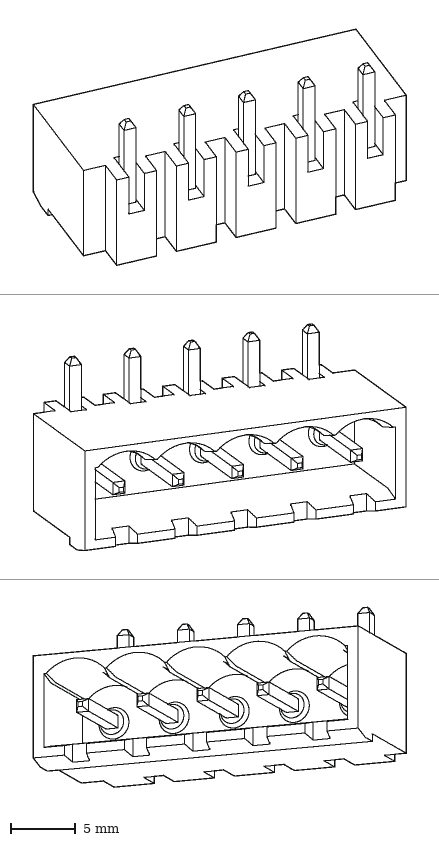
import cadquery as cq

pole_count = 5
pole_pitch = 5.0
length = 27.0
total_depth = 12.2
body_depth = 10.0
top_z = 8.5
underside_z = 0.6

foot_depth = 2.95
foot_slope_run = 1.48
foot_slope_rise = 0.4

pin_size = 1.0
pin_z = 4.6
pin_start = 1.0
tail_x = 10.4
tail_top_z = 12.5
tip_length = 0.5
tip_size = 0.38

end_wall = 0.9
cavity_depth = 8.0
taper_depth = 1.5
mouth_radius = 3.43
inner_radius = 3.0
mouth_roof_z = 7.02
inner_roof_z = mouth_roof_z - (mouth_radius - inner_radius)
mouth_floor_z = pin_z - mouth_radius
inner_floor_z = pin_z - inner_radius

collar_base_radius = 1.25
collar_tip_radius = 0.97
collar_height = 0.4

notch_depth = 1.2
notch_mouth_width = 1.84
notch_back_width = 1.4

pillar_width = 3.35
slot_front = 9.25
slot_width = 1.3
slot_floor_z = pin_z + pin_size / 2

pole_positions = [(i - (pole_count - 1) / 2) * pole_pitch for i in range(pole_count)]


def block(x_range, y_center, width, z_range):
    """Box between two X and two Z limits, centred on y_center."""
    x0, x1 = x_range
    z0, z1 = z_range
    return cq.Workplane("XY").box(x1 - x0, width, z1 - z0, centered=(False, True, False)).translate(
        (x0, y_center, z0)
    )


def side_prism(points, width):
    """Prism with an XZ outline, centred on Y = 0."""
    return cq.Workplane("XZ").polyline(points).close().extrude(width / 2, both=True)


def turned(points, y_center):
    """Solid turned around a pin axis from (x, radius) points."""
    profile = cq.Workplane("XY").polyline(points).close()
    return profile.revolve(360, (0, 0, 0), (1, 0, 0)).translate((0, y_center, pin_z))


def tapered_tip(plane):
    """Pyramid-shaped pin tip pointing along the normal of the plane."""
    base = cq.Workplane(plane).rect(pin_size, pin_size)
    return base.workplane(offset=tip_length).rect(tip_size, tip_size).loft()


def make_body():
    """Solid housing with the foot under the mouth."""
    return side_prism(
        [
            (0, foot_slope_rise),
            (foot_slope_run, 0),
            (foot_depth, 0),
            (foot_depth, underside_z),
            (body_depth, underside_z),
            (body_depth, top_z),
            (0, top_z),
        ],
        length,
    )


def make_cavity():
    """Plug opening with a scalloped roof that tapers in from the mouth."""
    cavity_width = length - 2 * end_wall
    cavity = side_prism(
        [
            (0, mouth_floor_z),
            (taper_depth, inner_floor_z),
            (cavity_depth, inner_floor_z),
            (cavity_depth, inner_roof_z),
            (taper_depth, inner_roof_z),
            (0, mouth_roof_z),
        ],
        cavity_width,
    )
    scallop = [
        (0, 0),
        (0, mouth_radius),
        (taper_depth, inner_radius),
        (cavity_depth, inner_radius),
        (cavity_depth, 0),
    ]
    for y in pole_positions:
        cavity = cavity.union(turned(scallop, y))
    return cavity.intersect(block((0, cavity_depth), 0, cavity_width, (0, top_z)))


def make_notch(y):
    """Cut through the lower lip, narrowing away from the mouth."""
    outline = [
        (0, y - notch_mouth_width / 2),
        (notch_depth, y - notch_back_width / 2),
        (notch_depth, y + notch_back_width / 2),
        (0, y + notch_mouth_width / 2),
    ]
    return cq.Workplane("XY").polyline(outline).close().extrude(pin_z)


def make_collar(y):
    """Conical collar standing on the back wall of the cavity."""
    collar_front = cavity_depth - collar_height
    return turned(
        [
            (collar_front, 0),
            (collar_front, collar_tip_radius),
            (cavity_depth, collar_base_radius),
            (cavity_depth, 0),
        ],
        y,
    )


def make_pin(y):
    """Right-angle square pin, pointed at both ends."""
    half = pin_size / 2
    shaft_start = pin_start + tip_length
    shaft_top = tail_top_z - tip_length
    pin = block((shaft_start, tail_x + half), y, pin_size, (pin_z - half, pin_z + half))
    pin = pin.union(block((tail_x - half, tail_x + half), y, pin_size, (pin_z - half, shaft_top)))
    front_tip = tapered_tip(cq.Plane((shaft_start, y, pin_z), xDir=(0, 1, 0), normal=(-1, 0, 0)))
    tail_tip = tapered_tip(cq.Plane((tail_x, y, shaft_top)))
    return pin.union(front_tip).union(tail_tip)


housing = make_body().cut(make_cavity())
for pole_y in pole_positions:
    pillar = block((body_depth, total_depth), pole_y, pillar_width, (underside_z, top_z))
    slot = block((slot_front, total_depth), pole_y, slot_width, (slot_floor_z, top_z))
    housing = housing.union(pillar).cut(slot).cut(make_notch(pole_y))
    housing = housing.union(make_collar(pole_y)).union(make_pin(pole_y))

result = housing